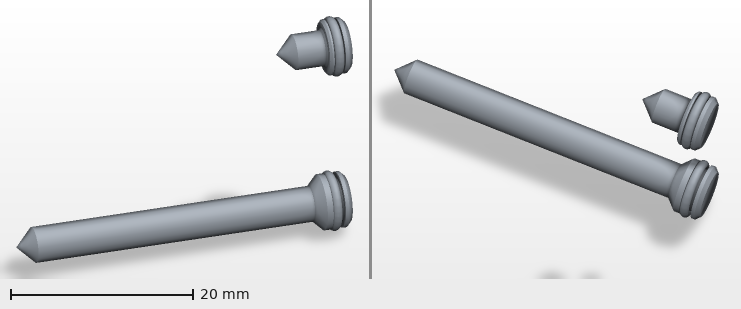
import cadquery as cq

long_plug_length = 37.6
short_plug_length = 8.0
plug_spacing = 19.95

pin_radius = 4.0 / 2
head_radius = 6.25 / 2
groove_floor_radius = 4.9 / 2
rear_chamfer = 0.5
groove_start = 0.9
tip_length = pin_radius

ring_outer_radius = 6.7 / 2
ring_half_height = (ring_outer_radius - groove_floor_radius) / 2
ring_half_width = 1.0 / 2
ring_centre_radius = groove_floor_radius + ring_half_height

long_groove_width = 1.4
long_ring_position = 1.75
long_head_length = 2.97
long_cone_length = head_radius - pin_radius

short_groove_width = 1.28
short_ring_position = groove_start + short_groove_width / 2
short_head_length = 2.65
head_edge_chamfer = 0.25
pin_root_chamfer = 0.23


def turned_body(groove_width, shoulder, length):
    """Revolve a plug about Y; shoulder lists (radius, depth) points from head to pin."""
    groove_end = groove_start + groove_width
    outline = [
        (0, 0),
        (head_radius - rear_chamfer, 0),
        (head_radius, rear_chamfer),
        (head_radius, groove_start),
        (groove_floor_radius, groove_start),
        (groove_floor_radius, groove_end),
        (head_radius, groove_end),
        *shoulder,
        (pin_radius, length - tip_length),
        (0, length),
    ]
    points = [(radius, -depth) for radius, depth in outline]
    return cq.Workplane("XY").polyline(points).close().revolve(360, (0, 0), (0, 1))


def long_plug():
    shoulder = [
        (head_radius, long_head_length),
        (pin_radius, long_head_length + long_cone_length),
    ]
    return turned_body(long_groove_width, shoulder, long_plug_length)


def short_plug():
    shoulder = [
        (head_radius, short_head_length - head_edge_chamfer),
        (head_radius - head_edge_chamfer, short_head_length),
        (pin_radius + pin_root_chamfer, short_head_length),
        (pin_radius, short_head_length + pin_root_chamfer),
    ]
    return turned_body(short_groove_width, shoulder, short_plug_length)


def sealing_ring(position):
    """Oval-section ring resting on the groove floor, centred at a depth from the rear face."""
    return (
        cq.Workplane("XY")
        .center(ring_centre_radius, -position)
        .ellipse(ring_half_height, ring_half_width)
        .revolve(360, (-ring_centre_radius, 0), (-ring_centre_radius, 1))
    )


lower_plug = long_plug()
upper_plug = short_plug().translate((0, 0, plug_spacing))

ring_places = [(long_ring_position, 0), (short_ring_position, plug_spacing)]
rings = [sealing_ring(depth).translate((0, 0, height)) for depth, height in ring_places]

result = cq.Compound.makeCompound([
    lower_plug.val(),
    upper_plug.val(),
    *[ring.val() for ring in rings],
])